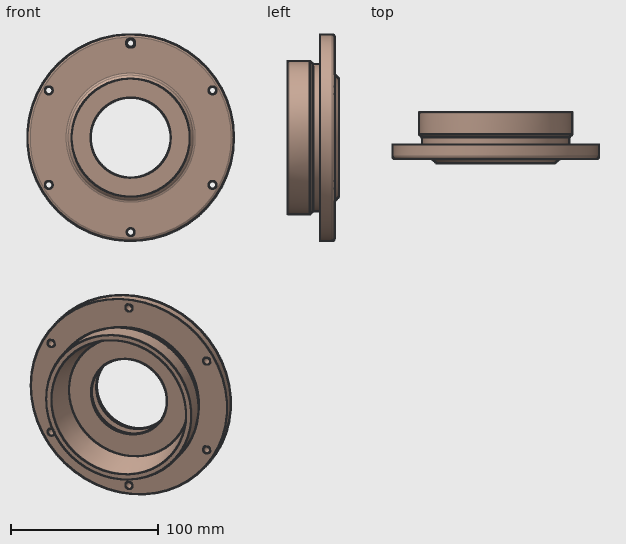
import cadquery as cq
import math

total_depth = 35.0
flange_front = 3.0
flange_back = 13.0
neck_back = 17.8
cavity_floor = 13.0
bore_land = 2.0

flange_radius = 140 / 2
spigot_radius = 104.0 / 2
neck_radius = 100.0 / 2
boss_face_radius = 80.0 / 2
bore_radius = 54.0 / 2
groove_radius = 70.0 / 2
cavity_floor_radius = 42.7
cavity_mouth_radius = 48.0

flange_fillet = 2.0
boss_root_fillet = 2.0
back_lead_length = 1.0
back_lead_drop = 0.3
shoulder_bevel = 0.3
groove_flank_angle = 7

hole_count = 6
hole_radius = 5.0 / 2
bolt_circle_radius = 128.0 / 2
top_hole_chamfer = 0.5


def turned_body():
    """Revolve the half profile (radius, Y) about the Y axis."""
    corner_radius = boss_face_radius + flange_front
    tangent = boss_root_fillet * math.tan(math.radians(22.5))
    diagonal = math.sqrt(0.5)
    blend_end = corner_radius + tangent
    arc_center_y = flange_front - boss_root_fillet
    half_angle = math.radians(67.5)
    blend_start = (corner_radius - tangent * diagonal, flange_front - tangent * diagonal)
    blend_middle = (
        blend_end - boss_root_fillet * math.cos(half_angle),
        arc_center_y + boss_root_fillet * math.sin(half_angle),
    )
    fillet_offset = flange_fillet * (1 - diagonal)
    spigot_front = neck_back + spigot_radius - neck_radius
    groove_back = cavity_floor - bore_land
    flank_run = (groove_radius - bore_radius) * math.tan(math.radians(groove_flank_angle))

    profile = (
        cq.Workplane("XY")
        .moveTo(bore_radius, 0)
        .lineTo(boss_face_radius, 0)
        .lineTo(*blend_start)
        .threePointArc(blend_middle, (blend_end, flange_front))
        .lineTo(flange_radius - flange_fillet, flange_front)
        .threePointArc(
            (flange_radius - fillet_offset, flange_front + fillet_offset),
            (flange_radius, flange_front + flange_fillet),
        )
        .lineTo(flange_radius, flange_back)
        .lineTo(neck_radius, flange_back)
        .lineTo(neck_radius, neck_back)
        .lineTo(spigot_radius, spigot_front)
        .lineTo(spigot_radius, total_depth - back_lead_length)
        .lineTo(spigot_radius - back_lead_drop, total_depth)
        .lineTo(cavity_mouth_radius, total_depth)
        .lineTo(cavity_mouth_radius - back_lead_drop, total_depth - back_lead_length)
        .lineTo(cavity_floor_radius, cavity_floor)
        .lineTo(bore_radius, cavity_floor)
        .lineTo(bore_radius, groove_back)
        .lineTo(groove_radius, groove_back - flank_run)
        .lineTo(groove_radius, bore_land + flank_run)
        .lineTo(bore_radius, bore_land)
        .close()
    )
    body = profile.revolve(360, (0, 0, 0), (0, 1, 0))

    edges = body.edges("%CIRCLE")
    shoulder_edges = edges.filter(
        lambda edge: any(
            math.isclose(edge.Center().y, position, abs_tol=0.001)
            for position in (neck_back, spigot_front)
        )
    )
    return shoulder_edges.chamfer(shoulder_bevel)


def bolt_hole(index):
    """Through hole in the flange, counted from the top of the bolt circle."""
    angle = math.radians(90 + index * 360 / hole_count)
    center = cq.Vector(
        bolt_circle_radius * math.cos(angle),
        flange_front,
        bolt_circle_radius * math.sin(angle),
    )
    return cq.Solid.makeCylinder(hole_radius, flange_back - flange_front, center, cq.Vector(0, 1, 0))


def top_hole_countersink():
    """45 degree lead-in at the front of the top bolt hole."""
    center = cq.Vector(0, flange_front, bolt_circle_radius)
    mouth_radius = hole_radius + top_hole_chamfer
    return cq.Solid.makeCone(mouth_radius, hole_radius, top_hole_chamfer, center, cq.Vector(0, 1, 0))


result = turned_body()
for hole_index in range(hole_count):
    result = result.cut(cq.Workplane(bolt_hole(hole_index)))
result = result.cut(cq.Workplane(top_hole_countersink()))